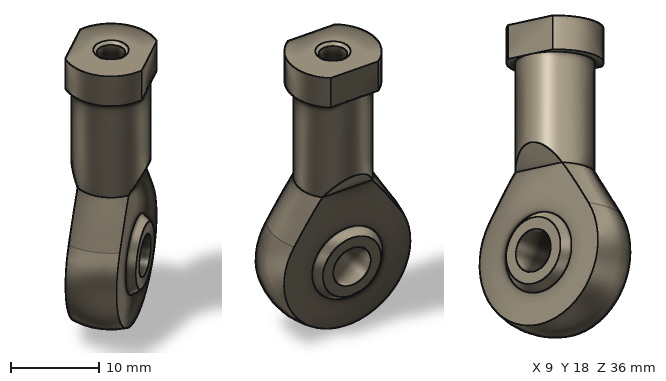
import cadquery as cq
import math

total_height = 36.0
head_radius = 9.0
head_width = 6.0
shank_diameter = 9.0
shank_radius = shank_diameter / 2
top_z = total_height - head_radius

collar_diameter = 11.0
collar_height = 4.0
collar_bottom_z = top_z - collar_height

ball_radius = 5.58
ball_width = 8.0
bore_diameter = 5.0

tapped_diameter = 3.25
tapped_depth = 10.8
mouth_diameter = 4.0
drill_point_angle = 118.0
shoulder_angle = 60.0

neck_top_z = 10.0
neck_top_distance = math.hypot(shank_radius, neck_top_z)
neck_top_angle = math.atan2(neck_top_z, shank_radius)
tangent_angle = neck_top_angle - math.acos(head_radius / neck_top_distance)
tangent_radius = head_radius * math.cos(tangent_angle)
tangent_z = head_radius * math.sin(tangent_angle)


def make_body():
    """Spherical head, conical neck and shank, revolved about Z."""
    middle_angle = (tangent_angle - math.pi / 2) / 2
    arc_middle = (head_radius * math.cos(middle_angle), head_radius * math.sin(middle_angle))
    return (
        cq.Workplane("XZ")
        .moveTo(0, -head_radius)
        .threePointArc(arc_middle, (tangent_radius, tangent_z))
        .lineTo(shank_radius, neck_top_z)
        .lineTo(shank_radius, collar_bottom_z)
        .lineTo(0, collar_bottom_z)
        .close()
        .revolve(360, (0, 0, 0), (0, 1, 0))
    )


def make_side_envelope():
    """Front outline that leaves the head flat and slopes out past the shank."""
    half_width = head_width / 2
    shoulder_top_z = neck_top_z + (head_radius - half_width) * math.tan(math.radians(shoulder_angle))
    return (
        cq.Workplane("XZ")
        .polyline([
            (-half_width, -head_radius),
            (half_width, -head_radius),
            (half_width, neck_top_z),
            (head_radius, shoulder_top_z),
            (head_radius, top_z),
            (-head_radius, top_z),
            (-head_radius, shoulder_top_z),
            (-half_width, neck_top_z),
        ])
        .close()
        .extrude(head_radius, both=True)
    )


def make_collar():
    """Round collar with two wrench flats level with the shank."""
    flats = cq.Workplane("XY").box(shank_diameter, collar_diameter, collar_height, centered=(True, True, False))
    disc = cq.Workplane("XY").circle(collar_diameter / 2).extrude(collar_height)
    return disc.intersect(flats).translate((0, 0, collar_bottom_z))


def make_ball():
    """Bored ball with a flat face at each end, revolved about X."""
    half_width = ball_width / 2
    bore_radius = bore_diameter / 2
    face_radius = math.sqrt(ball_radius**2 - half_width**2)
    return (
        cq.Workplane("XY")
        .moveTo(-half_width, bore_radius)
        .lineTo(-half_width, face_radius)
        .threePointArc((0, ball_radius), (half_width, face_radius))
        .lineTo(half_width, bore_radius)
        .close()
        .revolve(360, (0, 0, 0), (1, 0, 0))
    )


def make_tapped_hole():
    """Blind hole with a 45 degree mouth chamfer and a drill point."""
    hole_radius = tapped_diameter / 2
    mouth_radius = mouth_diameter / 2
    mouth_depth = mouth_radius - hole_radius
    point_depth = hole_radius / math.tan(math.radians(drill_point_angle / 2))
    return (
        cq.Workplane("XZ")
        .polyline([
            (0, top_z),
            (mouth_radius, top_z),
            (hole_radius, top_z - mouth_depth),
            (hole_radius, top_z - tapped_depth),
            (0, top_z - tapped_depth - point_depth),
        ])
        .close()
        .revolve(360, (0, 0, 0), (0, 1, 0))
    )


bore = cq.Workplane("YZ").circle(bore_diameter / 2).extrude(ball_width, both=True)

result = (
    make_body()
    .intersect(make_side_envelope())
    .cut(bore)
    .union(make_ball())
    .union(make_collar())
    .cut(make_tapped_hole())
)